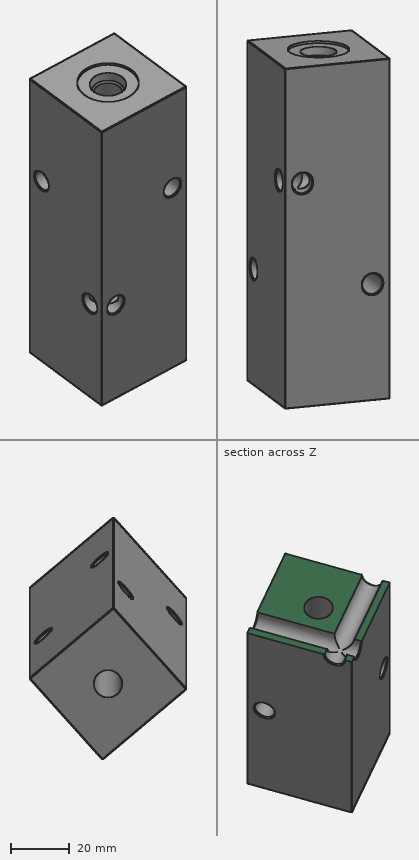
import cadquery as cq

block_width = 38.1
block_height = 120.6
edge_break = 0.27

spotface_diameter = 21.0
spotface_depth = 0.8
seat_top_diameter = 12.4
seat_bottom_diameter = 11.0
seat_depth = 2.8
seat_shoulder_depth = 0.6
bore_diameter = 9.7

cross_hole_diameter = 7.1
cross_hole_mouth_diameter = 8.0
cross_hole_offset = block_width / 3
cross_hole_height = block_width / 2


def make_block():
    block = cq.Workplane("XY").box(block_width, block_width, block_height)
    return block.edges().chamfer(edge_break)


def make_port():
    """Revolved cutter for the spotface, the tapered seat, its shoulder and the through bore."""
    top = block_height / 2
    seat_top = top - spotface_depth
    seat_bottom = seat_top - seat_depth
    bore_top = seat_bottom - seat_shoulder_depth
    return (
        cq.Workplane("XZ")
        .moveTo(0, top)
        .lineTo(spotface_diameter / 2, top)
        .lineTo(spotface_diameter / 2, seat_top)
        .lineTo(seat_top_diameter / 2, seat_top)
        .lineTo(seat_bottom_diameter / 2, seat_bottom)
        .lineTo(bore_diameter / 2, bore_top)
        .lineTo(bore_diameter / 2, -top)
        .lineTo(0, -top)
        .close()
        .revolve(360, (0, 0, 0), (0, 1, 0))
    )


def make_cross_hole():
    """Cutter along Y with a 45 degree countersink at both ends."""
    end = block_width / 2
    bore_radius = cross_hole_diameter / 2
    mouth_radius = cross_hole_mouth_diameter / 2
    countersink_start = end - (mouth_radius - bore_radius)
    return (
        cq.Workplane("XY")
        .moveTo(0, -end)
        .lineTo(mouth_radius, -end)
        .lineTo(bore_radius, -countersink_start)
        .lineTo(bore_radius, countersink_start)
        .lineTo(mouth_radius, end)
        .lineTo(0, end)
        .close()
        .revolve(360, (0, 0, 0), (0, 1, 0))
    )


result = make_block().cut(make_port())

hole_along_y = make_cross_hole()
hole_along_x = hole_along_y.rotate((0, 0, 0), (0, 0, 1), 90)
for side in (1, -1):
    height = side * cross_hole_height
    result = result.cut(hole_along_y.translate((-side * cross_hole_offset, 0, height)))
    result = result.cut(hole_along_x.translate((0, side * cross_hole_offset, height)))